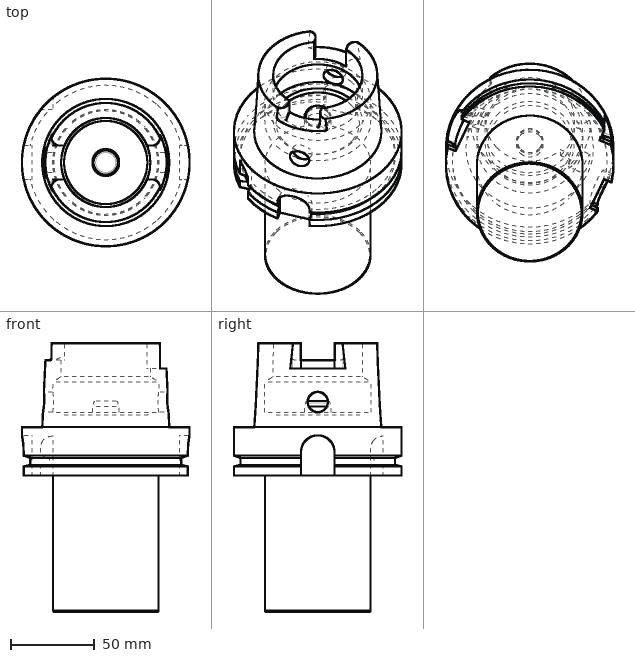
import cadquery as cq

total_height = 159.9
taper_height = 49.9
flange_height = 29.0
flange_diameter = 100.0
shank_diameter = 63.0
shank_chamfer = 0.6
taper_top_radius = 35.5
taper_base_radius = 37.9

groove_diameter = 92.1
groove_depth_top = 17.0
groove_width = 6.5
groove_lower_run = 1.0
groove_upper_run = 1.5

bore_diameter = 53.1
bore_depth = 19.8
undercut_diameter = 63.2
undercut_lead_height = 3.2
ledge_depth = 41.1
floor_diameter = 49.5
floor_chamfer = 1.8

boss_diameter = 16.0
boss_top_diameter = 12.0
boss_top_depth = 34.4
nose_radius = 1.3
shoulder_depth = 37.5

slot_width = 20.0
relief_offset = 32.3
slot_corner_radius = 5.0
relief_floor_fillet = 1.5
left_slot_depth = 10.0
right_slot_depth = 15.0

cross_hole_diameter = 12.0
cross_hole_depth = 35.0

flange_slot_top_offset = 5.0
flange_slot_floor = 44.0
notch_radius = 7.2
notch_center_y = 38.7
notch_floor = 31.5
notch_top_offset = 5.5

flange_radius = flange_diameter / 2
flange_top = total_height - taper_height
flange_bottom = flange_top - flange_height


def revolve_profile(points):
    """Turn a closed (radius, height) outline about Z."""
    return cq.Workplane("XZ").polyline(points).close().revolve(360, (0, 0), (0, 1))


def outer_body():
    shank_radius = shank_diameter / 2
    groove_radius = groove_diameter / 2
    groove_top = flange_top - groove_depth_top
    groove_bottom = groove_top - groove_width
    return revolve_profile([
        (0, 0),
        (shank_radius - shank_chamfer, 0),
        (shank_radius, shank_chamfer),
        (shank_radius, flange_bottom),
        (flange_radius, flange_bottom),
        (flange_radius, groove_bottom),
        (groove_radius, groove_bottom + groove_lower_run),
        (groove_radius, groove_top - groove_upper_run),
        (flange_radius, groove_top),
        (flange_radius, flange_top),
        (taper_base_radius, flange_top),
        (taper_top_radius, total_height),
        (0, total_height),
    ])


def cavity():
    undercut_top = total_height - bore_depth
    ledge = total_height - ledge_depth
    floor = ledge - floor_chamfer
    return revolve_profile([
        (0, floor),
        (floor_diameter / 2, floor),
        (floor_diameter / 2 + floor_chamfer, ledge),
        (undercut_diameter / 2, ledge),
        (undercut_diameter / 2, undercut_top - undercut_lead_height),
        (bore_diameter / 2, undercut_top),
        (bore_diameter / 2, total_height),
        (0, total_height),
    ])


def boss():
    floor = total_height - ledge_depth - floor_chamfer
    shoulder = total_height - shoulder_depth
    nose_diameter = boss_top_diameter + 2 * nose_radius
    base = cq.Workplane("XY", origin=(0, 0, floor)).circle(boss_diameter / 2).extrude(shoulder - floor)
    nose = (
        cq.Workplane("XY", origin=(0, 0, shoulder))
        .circle(nose_diameter / 2)
        .extrude(shoulder_depth - boss_top_depth)
        .faces(">Z")
        .edges()
        .fillet(nose_radius)
    )
    return base.union(nose)


def drive_slot(side, depth, floor_fillet=0):
    """T-shaped cut through one rim wall; side is -1 or +1 along X."""
    reach = flange_radius
    floor = total_height - depth
    channel = cq.Workplane("XY", origin=(side * reach / 2, 0, floor)).rect(reach, slot_width).extrude(depth)
    relief_length = reach - relief_offset
    relief_center = side * (relief_offset + relief_length / 2)
    relief = (
        cq.Workplane("XY", origin=(relief_center, 0, floor))
        .rect(relief_length, flange_diameter)
        .extrude(depth)
    )
    cutter = channel.union(relief)
    for sign in (-1, 1):
        corner = (side * relief_offset, sign * slot_width / 2, floor + depth / 2)
        cutter = cutter.edges(cq.selectors.NearestToPointSelector(corner)).fillet(slot_corner_radius)
    if floor_fillet:
        rounded = cutter.faces("<Z").edges().fillet(floor_fillet)
        cutter = rounded.union(channel)
    return cutter


def flange_slot(side, center_y, radius, floor_x, top_offset):
    """Round-topped slot cut from a flat floor outward along X."""
    depth = flange_radius - floor_x
    arch_center = flange_top - top_offset - radius
    return (
        cq.Workplane("YZ", origin=(side * floor_x, center_y, 0))
        .moveTo(-radius, flange_bottom)
        .lineTo(radius, flange_bottom)
        .lineTo(radius, arch_center)
        .threePointArc((0, arch_center + radius), (-radius, arch_center))
        .close()
        .extrude(side * depth)
    )


def cross_hole():
    return (
        cq.Workplane("YZ", origin=(0, 0, total_height - cross_hole_depth))
        .circle(cross_hole_diameter / 2)
        .extrude(flange_radius, both=True)
    )


result = outer_body().cut(cavity()).cut(cross_hole()).union(boss())
result = result.cut(drive_slot(-1, left_slot_depth, relief_floor_fillet))
result = result.cut(drive_slot(1, right_slot_depth))
for side in (-1, 1):
    result = result.cut(
        flange_slot(side, 0, slot_width / 2, flange_slot_floor, flange_slot_top_offset)
    )
result = result.cut(flange_slot(-1, notch_center_y, notch_radius, notch_floor, notch_top_offset))